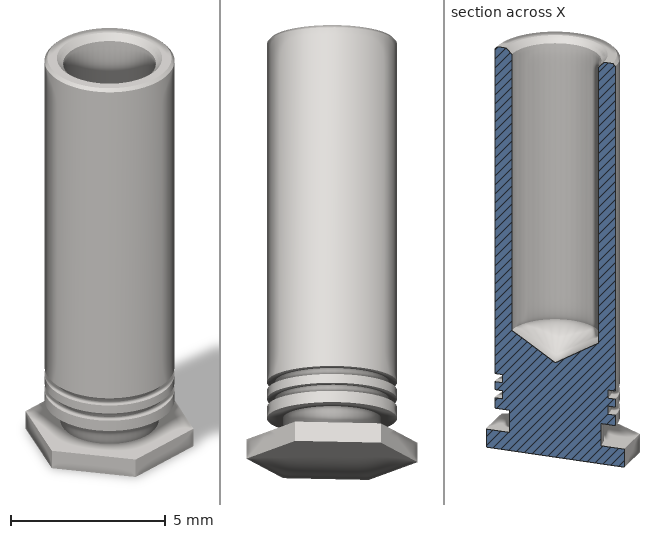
import cadquery as cq
import math

total_height = 14.0
flange_height = 0.65
neck_top = 1.4
lower_ring_top = 1.78
lower_groove_top = 2.05
upper_ring_top = 2.34
upper_groove_top = 2.6

flange_across_flats = 4.8
body_diameter = 4.2
neck_diameter = 3.18
groove_diameter = 3.7
bore_diameter = 3.0
bore_mouth_diameter = 3.4

rim_chamfer = 0.1
bore_full_depth = 9.8
drill_point_angle = 118.0
countersink_angle = 90.0


def cylinder(diameter, bottom, top):
    """Vertical cylinder between two heights."""
    return cq.Workplane("XY").workplane(offset=bottom).circle(diameter / 2).extrude(top - bottom)


def make_flange():
    """Hexagonal flange with two corners on the X axis."""
    across_corners = flange_across_flats / math.cos(math.pi / 6)
    return cq.Workplane("XY").polygon(6, across_corners).extrude(flange_height)


def make_bore():
    """Countersunk blind hole with a conical bottom."""
    bore_radius = bore_diameter / 2
    mouth_radius = bore_mouth_diameter / 2
    bore_bottom = total_height - bore_full_depth
    point_depth = bore_radius / math.tan(math.radians(drill_point_angle / 2))
    countersink_depth = (mouth_radius - bore_radius) / math.tan(math.radians(countersink_angle / 2))
    profile = [
        (0, bore_bottom - point_depth),
        (bore_radius, bore_bottom),
        (bore_radius, total_height - countersink_depth),
        (mouth_radius, total_height),
        (0, total_height),
    ]
    return cq.Workplane("XZ").polyline(profile).close().revolve(360, (0, 0, 0), (0, 1, 0))


result = make_flange()
stack = [
    (neck_diameter, flange_height, neck_top),
    (body_diameter, neck_top, lower_ring_top),
    (groove_diameter, lower_ring_top, lower_groove_top),
    (body_diameter, lower_groove_top, upper_ring_top),
    (groove_diameter, upper_ring_top, upper_groove_top),
]
for diameter, bottom, top in stack:
    result = result.union(cylinder(diameter, bottom, top))

barrel = cylinder(body_diameter, upper_groove_top, total_height).faces(">Z").chamfer(rim_chamfer)
result = result.union(barrel).cut(make_bore())